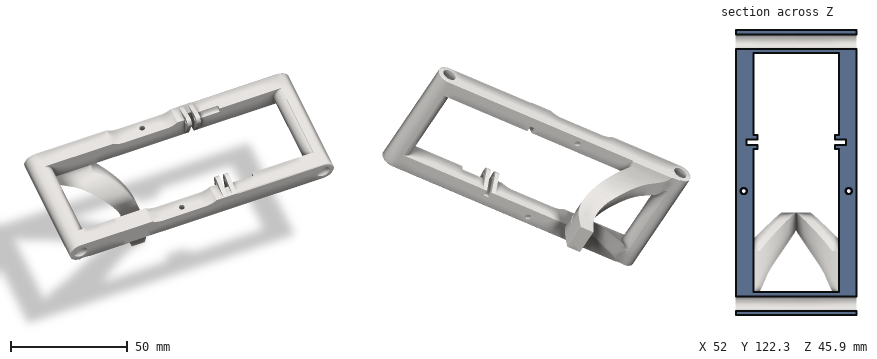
import cadquery as cq
import math

length = 122.3
width = 52.0
height = 10.0
rail_width = 7.7
window_length = 109.3
bore_diameter = 6.0
edge_chamfer = 0.4

tube_radius = height / 2
tube_y = length / 2 - tube_radius
top_z = height / 2
bottom_z = -height / 2
outer_x = width / 2
inner_x = outer_x - rail_width

recess_depth = 1.8
recess_floor_front_y = -18.0
recess_floor_back_y = 1.6
recess_ramp = 5.1
screw_hole_diameter = 2.5
screw_hole_x = 22.5
screw_hole_y = -8.0

hinge_x = 17.4
hinge_radius = 2.6
hinge_hole_diameter = 2.0
lug_thickness = 2.0
lug_gap = 2.2
lug_back_y = 16.1
slot_x = 21.2
groove_length = 10.0

hinge_z = top_z
slot_back_y = lug_back_y - lug_thickness
slot_front_y = slot_back_y - lug_gap
lug_front_y = slot_front_y - lug_thickness

leg_drop = 33.3
foot_width = 6.1
leg_outer_radius = 26.0
leg_inner_radius = 27.3
leg_straight_top_z = -30.8
foot_front_y = -24.5
foot_back_y = -18.3
leg_front_curve = [(-24.6, -31.2), (-27.9, -20.8), (-35.0, -13.0), (-44.6, -7.8), (-51.4, -6.0)]
leg_top_back_y = -33.3
leg_back_start = (-33.7, -6.2)
leg_back_middle = (-22.7, -13.8)
leg_back_bulge = (-17.2, -28.7)
leg_back_lower = (-17.6, -33.5)
foot_z = bottom_z - leg_drop
leg_side_x = outer_x - edge_chamfer


def box(x_range, y_range, z_range):
    """Axis-aligned block between the given limits."""
    size = [high - low for low, high in (x_range, y_range, z_range)]
    return (
        cq.Workplane("XY")
        .box(*size, centered=False)
        .translate((x_range[0], y_range[0], z_range[0]))
    )


def along_x(radius, x_length, y, z):
    """Cylinder parallel to X, centred on X = 0."""
    return cq.Workplane("YZ").center(y, z).circle(radius).extrude(x_length / 2, both=True)


def along_y(radius, y_front, y_back, x, z):
    """Cylinder parallel to Y between two Y positions."""
    plane = cq.Workplane("XZ", origin=(0, y_back, 0))
    return plane.center(x, z).circle(radius).extrude(y_back - y_front)


def mirror_pair(shape):
    """The shape together with its mirror image across X = 0."""
    return shape.union(shape.mirror("YZ"))


def make_frame():
    """Rounded bar with a window, closed at both ends by a round tube."""
    frame = cq.Workplane("YZ").slot2D(length, height).extrude(width / 2, both=True)
    window_half = window_length / 2
    frame = frame.cut(box((-inner_x, inner_x), (-window_half, window_half), (bottom_z, top_z)))
    for y in (-tube_y, tube_y):
        frame = frame.union(along_x(tube_radius, width, y, 0))
    return frame


def make_edge_chamfer():
    """Material removed along the outer edge of the -X rail, except on its front top and front end."""
    limit = outer_x - edge_chamfer
    core = (
        cq.Workplane("YZ", origin=(-outer_x, 0, 0))
        .slot2D(length - 2 * edge_chamfer, height - 2 * edge_chamfer)
        .workplane(offset=edge_chamfer)
        .slot2D(length, height)
        .loft(combine=True)
    )
    back = box((-outer_x, -limit), (lug_back_y, length / 2), (bottom_z, top_z))
    lower_front = box((-outer_x, -limit), (-tube_y, lug_back_y), (bottom_z, 0))
    return back.union(lower_front).cut(core)


def make_recess():
    """Flat-bottomed dip across both rails with concave ramps at its ends."""
    floor_z = top_z - recess_depth
    ramp_radius = (recess_ramp**2 + recess_depth**2) / (2 * recess_depth)
    half_angle = math.asin(recess_ramp / ramp_radius) / 2
    mid_run = ramp_radius * math.sin(half_angle)
    mid_z = floor_z + ramp_radius * (1 - math.cos(half_angle))
    return (
        cq.Workplane("YZ")
        .moveTo(recess_floor_front_y, floor_z)
        .lineTo(recess_floor_back_y, floor_z)
        .threePointArc((recess_floor_back_y + mid_run, mid_z), (recess_floor_back_y + recess_ramp, top_z))
        .lineTo(recess_floor_front_y - recess_ramp, top_z)
        .threePointArc((recess_floor_front_y - mid_run, mid_z), (recess_floor_front_y, floor_z))
        .close()
        .extrude(width / 2, both=True)
    )


def tangent_point(x, z, side):
    """Point where a line from (x, z) touches the round end of the -X lug."""
    dx = x + hinge_x
    dz = z - hinge_z
    angle = math.atan2(dz, dx) + side * math.acos(hinge_radius / math.hypot(dx, dz))
    return (-hinge_x + hinge_radius * math.cos(angle), hinge_z + hinge_radius * math.sin(angle))


def make_lugs():
    """Two plates on the -X rail, tapering from a round eye to the outer top and inner bottom edges."""
    lug = (
        cq.Workplane("XZ", origin=(0, lug_back_y, 0))
        .moveTo(-outer_x, top_z)
        .lineTo(*tangent_point(-outer_x, top_z, -1))
        .threePointArc((-hinge_x + hinge_radius, hinge_z), tangent_point(-inner_x, bottom_z, 1))
        .lineTo(-inner_x, bottom_z)
        .lineTo(-outer_x, 0)
        .close()
        .extrude(lug_thickness)
    )
    return lug.union(lug.translate((0, slot_front_y - lug_back_y, 0)))


def make_leg():
    """Leg from the -X rail down to a foot beside X = 0, the overlap of a front and a side outline."""
    outer_centre_x = -foot_width - leg_outer_radius
    inner_centre_x = -leg_inner_radius
    rise = bottom_z - leg_straight_top_z
    inner_top_x = inner_centre_x + math.sqrt(leg_inner_radius**2 - rise**2)
    outer_run = -leg_side_x - outer_centre_x
    outer_top_z = leg_straight_top_z + math.sqrt(leg_outer_radius**2 - outer_run**2)
    inner_step = leg_inner_radius * math.sqrt(0.5)
    outer_step = leg_outer_radius * math.sqrt(0.5)
    inner_middle = (inner_centre_x + inner_step, leg_straight_top_z + inner_step)
    outer_middle = (outer_centre_x + outer_step, leg_straight_top_z + outer_step)
    front_outline = (
        cq.Workplane("XZ")
        .moveTo(0, foot_z)
        .lineTo(0, leg_straight_top_z)
        .threePointArc(inner_middle, (inner_top_x, bottom_z))
        .lineTo(-leg_side_x, bottom_z)
        .lineTo(-leg_side_x, outer_top_z)
        .threePointArc(outer_middle, (-foot_width, leg_straight_top_z))
        .lineTo(-foot_width, foot_z)
        .close()
        .extrude(length / 2, both=True)
    )
    front_curve = leg_front_curve + [(-tube_y, bottom_z)]
    side_outline = (
        cq.Workplane("YZ")
        .moveTo(foot_front_y, foot_z)
        .spline(front_curve, tangents=[(0, 1), (-1, 0)], includeCurrent=True)
        .lineTo(leg_top_back_y, bottom_z)
        .lineTo(*leg_back_start)
        .threePointArc(leg_back_middle, leg_back_bulge)
        .threePointArc(leg_back_lower, (foot_back_y, foot_z))
        .close()
        .extrude(-width / 2)
    )
    return front_outline.intersect(side_outline)


frame = make_frame().cut(mirror_pair(make_edge_chamfer()))
frame = frame.cut(make_recess())

groove = along_y(hinge_radius, lug_back_y, lug_back_y + groove_length, -hinge_x, hinge_z)
result = frame.cut(mirror_pair(groove))
result = result.union(mirror_pair(make_lugs()))

slot = box((-slot_x, 0), (slot_front_y, slot_back_y), (bottom_z, top_z + hinge_radius))
result = result.cut(mirror_pair(slot))

hinge_hole = along_y(hinge_hole_diameter / 2, lug_front_y, lug_back_y, -hinge_x, hinge_z)
result = result.cut(mirror_pair(hinge_hole))
result = result.union(mirror_pair(make_leg()))

for y in (-tube_y, tube_y):
    result = result.cut(along_x(bore_diameter / 2, width, y, 0))

screw_holes = (
    cq.Workplane("XY")
    .pushPoints([(-screw_hole_x, screw_hole_y), (screw_hole_x, screw_hole_y)])
    .circle(screw_hole_diameter / 2)
    .extrude(height, both=True)
)
result = result.cut(screw_holes)